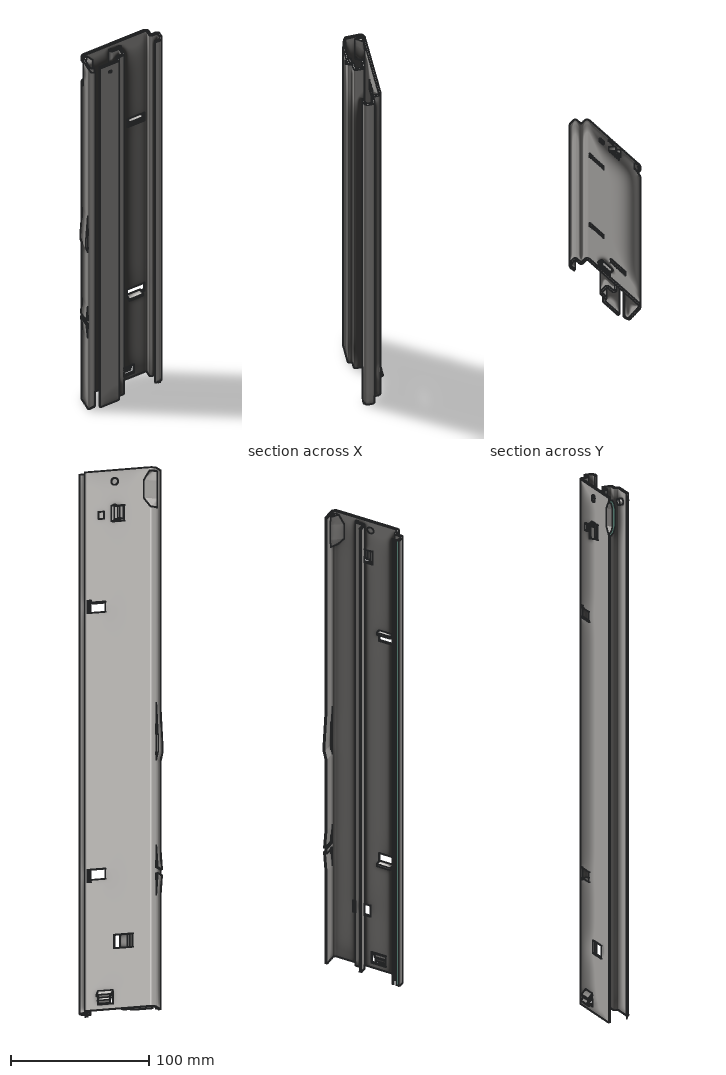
import cadquery as cq
import math


SHEET = 1.5
RAIL_LENGTH = 399.0
TOOTH_X = (13.0, 14.0)
TOOTH_Y = (57.0, 58.5)
TOOTH_DROP = 1.0
INNER_RAISE = 2.0
CUT = 0.5

FLANGE_WIDTH = 16.0
LIP_HEIGHT = 4.5
LIP_CORNER_X = 2.0
LIP_CORNER_Z = 4.0
WEB_HEIGHT = 55.0
HOOK_X = 6.0
HOOK_TOP = 61.0
HOOK_REACH = 15.0
HOOK_TIP_X = 14.0
HOOK_TIP_Y = 54.5
LIP_BEND = 3.0
WEB_BEND = 3.5
JOG_BEND = 3.0
HOOK_BEND = 2.0
HOOK_TIP_BEND = 3.5
TIGHT_BEND = 0.5

INNER_FACE_X = FLANGE_WIDTH + SHEET
INNER_BOTTOM = 8.0
INNER_STEP_Y = 24.0
INNER_TOP = 29.5
INNER_NECK_X = 14.5
TOE_X = 5.0
TOE_Y = 23.0

SLOT_Y = (38.0, 52.0)
SLOT_HEIGHT = 9.0
SLOT_FROM_END = 95.0
SLOT_TAB_Y = (38.0, 49.0)
SLOT_TAB_X = 5.0
WINDOW_Y = (17.0, 31.0)
WINDOW_Z = (45.0, 55.0)
DIMPLE_Y = 31.0
DIMPLE_Z = 390.5
DIMPLE_DIAMETER = 5.0
DIMPLE_DEPTH = 1.0
PAD_Y = (39.0, 43.0)
PAD_Z = (363.0, 368.5)
PAD_HEIGHT = 1.0

TONGUE_WIDTH = 11.5
TONGUE_LENGTH = 10.0
TONGUE_STEP = 1.0
TONGUE_ROOT = 4.5
TONGUE_LIFT = 3.4
BARB_REACH = TONGUE_LIFT + 0.85
TONGUE_OUTSIDE = [(0, 0), (3.5, TONGUE_LIFT), (5.5, 2.5), (8.0, BARB_REACH), (TONGUE_LENGTH, 2.0)]
TONGUE_INSIDE = [(8.0, 2.65), (5.5, 1.0), (3.5, 1.8), (0, -SHEET)]
UPPER_TONGUE_Y = 33.0
UPPER_TONGUE_Z = 361.0
LOWER_TONGUE_Y = 43.5
LOWER_TONGUE_Z = 14.0

DART_X = 6.0
DART_LEVELS = [(369.5, 3.0), (376.5, 9.0), (389.5, 9.0), (396.5, 4.0)]

RAMP_X = (4.0, 13.0)
RAMP_RISE = 1.5
LONG_RAMP = [(225.0, 0), (195.0, RAMP_RISE), (190.0, RAMP_RISE), (183.0, 0)]
SHORT_RISE = 1.0
UPPER_RAMP = [(119.0, 0), (103.0, SHORT_RISE), (103.0, 0)]
LOWER_RAMP = [(99.0, 0), (99.0, SHORT_RISE), (83.0, 0)]

RIVET_Y = 16.0
RIVET_Z = 390.5
RIVET_SHANK_DIAMETER = 2.5
RIVET_HEAD_DIAMETER = 5.0
RIVET_HEAD_X = 13.0


def box(x, y, z):
    """Box between the (low, high) limits along each axis."""
    size = [high - low for low, high in (x, y, z)]
    return cq.Workplane("XY").box(*size, centered=False).translate((x[0], y[0], z[0]))


def direction(start, end):
    length = math.dist(start, end)
    return (end[0] - start[0]) / length, (end[1] - start[1]) / length


def offset_corners(corners):
    """Sharp corners of the face one sheet thickness to the right of a path of (x, y, bend radius)."""
    points = [corner[:2] for corner in corners]
    headings = [direction(a, b) for a, b in zip(points, points[1:])]
    before = [headings[0]] + headings
    after = headings + [headings[-1]]
    moved = []
    for (x, y, radius), (ux, uy), (vx, vy) in zip(corners, before, after):
        miter = SHEET / (1 + ux * vx + uy * vy)
        turns_right = ux * vy - uy * vx < 0
        other_radius = radius - SHEET if turns_right else radius + SHEET
        moved.append((x + (uy + vy) * miter, y - (ux + vx) * miter, max(other_radius, TIGHT_BEND)))
    return moved


def draw_face(sketch, corners):
    """Lines between the corners, with an arc tangent to both lines at each inner corner."""
    for previous, (x, y, radius), following in zip(corners, corners[1:], corners[2:]):
        ux, uy = direction((x, y), previous[:2])
        vx, vy = direction((x, y), following[:2])
        half_angle = math.acos(ux * vx + uy * vy) / 2
        setback = radius / math.tan(half_angle)
        depth = radius / math.sin(half_angle) - radius
        bx, by = direction((0, 0), (ux + vx, uy + vy))
        sketch = sketch.lineTo(x + ux * setback, y + uy * setback)
        sketch = sketch.threePointArc(
            (x + bx * depth, y + by * depth), (x + vx * setback, y + vy * setback)
        )
    return sketch.lineTo(*corners[-1][:2])


def sheet_rail(corners, length):
    """Bent sheet whose left face follows the corners, extruded along Z."""
    back = offset_corners(corners)[::-1]
    sketch = draw_face(cq.Workplane("XY").moveTo(*corners[0][:2]), corners)
    sketch = draw_face(sketch.lineTo(*back[0][:2]), back)
    return sketch.close().extrude(length)


def tongue():
    """Barbed tongue with its hinge on the Z axis, pointing to -Y and standing out to -X."""
    root = [(-CUT, -SHEET), (-CUT, 0)]
    points = [(-out, -along) for along, out in root + TONGUE_OUTSIDE + TONGUE_INSIDE]
    blade = cq.Workplane("XY").polyline(points).close().extrude(TONGUE_WIDTH)
    for low in (0, TONGUE_WIDTH - TONGUE_STEP):
        blade = blade.cut(
            box((-2 * BARB_REACH, SHEET), (-2 * TONGUE_LENGTH, -TONGUE_ROOT), (low, low + TONGUE_STEP))
        )
    return blade


def add_tongues(rail):
    through = (-CUT, SHEET + CUT)
    upper_window = box(
        through,
        (UPPER_TONGUE_Y - TONGUE_LENGTH, UPPER_TONGUE_Y),
        (UPPER_TONGUE_Z, UPPER_TONGUE_Z + TONGUE_WIDTH),
    )
    lower_window = box(
        through,
        (LOWER_TONGUE_Y - TONGUE_WIDTH, LOWER_TONGUE_Y),
        (LOWER_TONGUE_Z - TONGUE_LENGTH, LOWER_TONGUE_Z),
    )
    upper = tongue().translate((0, UPPER_TONGUE_Y, UPPER_TONGUE_Z))
    lower = tongue().rotate((0, 0, 0), (1, 0, 0), 90).translate((0, LOWER_TONGUE_Y, LOWER_TONGUE_Z))
    return rail.cut(upper_window).cut(lower_window).union(upper).union(lower)


def add_slots(rail):
    """Two slots at equal distances from the ends, each with a tab bent in at its edge nearest the end."""
    for from_top in (False, True):
        slot = box((-CUT, SHEET + CUT), SLOT_Y, (SLOT_FROM_END, SLOT_FROM_END + SLOT_HEIGHT))
        tab = box((0, SLOT_TAB_X), SLOT_TAB_Y, (SLOT_FROM_END - CUT, SLOT_FROM_END + SHEET))
        if from_top:
            middle = (0, 0, RAIL_LENGTH / 2)
            slot = slot.mirror("XY", middle)
            tab = tab.mirror("XY", middle)
        rail = rail.cut(slot).union(tab)
    return rail


def dart_prism(corner, growth):
    """Triangle across the corner of web and flange, tapering toward both ends of the dart."""
    body = None
    for (low, low_reach), (high, high_reach) in zip(DART_LEVELS, DART_LEVELS[1:]):
        part = cq.Workplane("XY").workplane(offset=low)
        for reach, rise in ((low_reach, 0), (high_reach, high - low)):
            points = [(corner, corner), (DART_X + growth, corner), (corner, reach + growth)]
            part = part.workplane(offset=rise).polyline(points).close()
        part = part.loft(ruled=True)
        body = part if body is None else body.union(part)
    return body


def add_dart(rail):
    wall = dart_prism(corner=SHEET - CUT, growth=SHEET)
    hollow = dart_prism(corner=-CUT, growth=0)
    return rail.union(wall).cut(hollow)


def bevel_lip(rail):
    """Bevel the outer corner of the lip at both ends of the rail."""
    for end, inward in ((0, 1), (RAIL_LENGTH, -1)):
        points = [
            (FLANGE_WIDTH - LIP_CORNER_X, end),
            (FLANGE_WIDTH, end),
            (FLANGE_WIDTH, end + inward * LIP_CORNER_Z),
        ]
        bevel = cq.Workplane("XZ").polyline(points).close().extrude(-LIP_HEIGHT)
        rail = rail.cut(bevel)
    return rail


def add_ramps(rail):
    """Each ramp stands out of the flange and leaves the same hollow in its inner face."""
    for profile in (LONG_RAMP, UPPER_RAMP, LOWER_RAMP):
        points = [(-out, z) for z, out in profile]
        ramp = cq.Workplane("YZ").polyline(points).close().extrude(RAMP_X[1] - RAMP_X[0])
        ramp = ramp.translate((RAMP_X[0], 0, 0))
        rail = rail.union(ramp).cut(ramp.translate((0, SHEET, 0)))
    return rail


def add_window_pad_and_dimple(rail):
    window = box((-CUT, SHEET + CUT), WINDOW_Y, WINDOW_Z)
    pad = box((-PAD_HEIGHT, 0), PAD_Y, PAD_Z)
    dimple = cq.Workplane("YZ").circle(DIMPLE_DIAMETER / 2).extrude(DIMPLE_DEPTH)
    dimple = dimple.translate((0, DIMPLE_Y, DIMPLE_Z))
    return rail.cut(window).union(pad).cut(dimple)


def make_cabinet_rail():
    rail = sheet_rail(
        [
            (FLANGE_WIDTH, LIP_HEIGHT, 0),
            (FLANGE_WIDTH, 0, LIP_BEND),
            (0, 0, WEB_BEND),
            (0, WEB_HEIGHT, JOG_BEND),
            (HOOK_X, WEB_HEIGHT, TIGHT_BEND),
            (HOOK_X, HOOK_TOP, HOOK_BEND),
            (HOOK_REACH, HOOK_TOP, HOOK_TIP_BEND),
            (HOOK_TIP_X, HOOK_TIP_Y, 0),
        ],
        RAIL_LENGTH,
    )
    rail = bevel_lip(rail)
    rail = add_tongues(rail)
    rail = add_slots(rail)
    rail = add_dart(rail)
    rail = add_ramps(rail)
    rail = add_window_pad_and_dimple(rail)
    tooth = box(TOOTH_X, TOOTH_Y, (-TOOTH_DROP, CUT))
    return rail.union(tooth)


def make_inner_rail():
    rail = sheet_rail(
        [
            (TOE_X, TOE_Y, 0),
            (HOOK_X, TOE_Y, TIGHT_BEND),
            (HOOK_X, INNER_TOP, HOOK_BEND),
            (INNER_NECK_X, INNER_TOP, HOOK_BEND),
            (INNER_NECK_X, INNER_STEP_Y, TIGHT_BEND),
            (INNER_FACE_X, INNER_STEP_Y, SHEET + TIGHT_BEND),
            (INNER_FACE_X, INNER_BOTTOM, 0),
        ],
        RAIL_LENGTH - INNER_RAISE,
    )
    return rail.translate((0, 0, INNER_RAISE)).cut(make_rivet())


def make_rivet():
    """Rivet flush with the outer face of the inner rail, its head on the side of the web."""
    plate_back = INNER_FACE_X - SHEET
    shank = cq.Workplane("YZ").circle(RIVET_SHANK_DIAMETER / 2).extrude(INNER_FACE_X - RIVET_HEAD_X)
    head = cq.Workplane("YZ").circle(RIVET_HEAD_DIAMETER / 2).extrude(plate_back - RIVET_HEAD_X)
    return shank.union(head).translate((RIVET_HEAD_X, RIVET_Y, RIVET_Z))


cabinet_rail = make_cabinet_rail()
inner_rail = make_inner_rail()
rivet = make_rivet()

result = cq.Compound.makeCompound([cabinet_rail.val(), inner_rail.val(), rivet.val()])